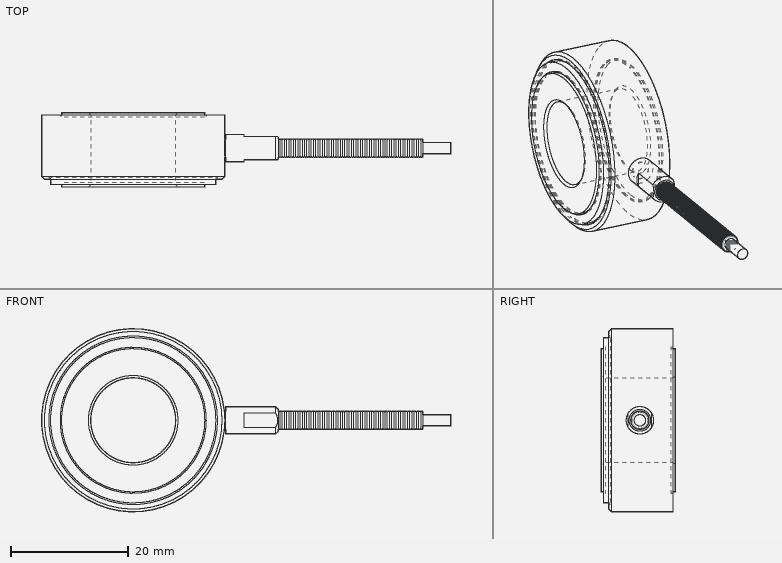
import cadquery as cq
total_width = 12.7
body_diameter = 31.3
bore_diameter = 14.45
boss_diameter = 24.4
boss_height = 0.4
rim_diameter = 28.2
rim_height = 0.9
edge_chamfer = 0.5
bore_chamfer = 0.4

groove_depth = 0.35
rim_groove_diameter = 28.75
boss_groove_diameter = 24.9

half_width = total_width / 2
back_face = half_width - boss_height
rim_face = -back_face
front_shoulder = rim_face + rim_height

overall_length = 69.8
outlet_y = 0.3
neck_diameter = 3.1
neck_start = 13.95
collar_diameter = 4.7
collar_start = 15.8
collar_end = 24.8
collar_chamfer = 0.5
flat_start = 18.9
flat_thickness = 4.0
cable_diameter = 1.95
cable_end = overall_length - body_diameter / 2

hose_diameter = 3.15
hose_ring_count = 65
hose_start = 24.65
hose_end = 49.4
hose_pitch = (hose_end - hose_start) / hose_ring_count


def disc(diameter, y_from, y_to):
    """Solid cylinder on the Y axis between two Y positions."""
    return cq.Workplane("XZ", origin=(0, y_to, 0)).circle(diameter / 2).extrude(y_to - y_from)


def ring_groove(inner_diameter, outer_diameter, y_from, y_to):
    """Tube-shaped cutter on the Y axis between two Y positions."""
    return disc(outer_diameter, y_from, y_to).cut(disc(inner_diameter, y_from, y_to))


def load_ring():
    """Chamfered body with the front rim, both bosses, the bore and the ring grooves."""
    body = disc(body_diameter, front_shoulder, back_face).faces("<Y").chamfer(edge_chamfer)
    ring = body.union(disc(rim_diameter, rim_face, front_shoulder))
    ring = ring.union(disc(boss_diameter, -half_width, half_width))
    ring = ring.cut(disc(bore_diameter, -half_width, half_width))
    ring = ring.edges(cq.selectors.RadiusNthSelector(0)).chamfer(bore_chamfer)
    ring = ring.cut(
        ring_groove(rim_diameter, rim_groove_diameter, front_shoulder, front_shoulder + groove_depth)
    )
    ring = ring.cut(ring_groove(boss_diameter, boss_groove_diameter, rim_face, rim_face + groove_depth))
    return ring.cut(ring_groove(boss_diameter, boss_groove_diameter, back_face - groove_depth, back_face))


def rod(diameter, x_from, x_to):
    """Solid cylinder on the outlet axis between two X positions."""
    return cq.Workplane("YZ", origin=(x_from, outlet_y, 0)).circle(diameter / 2).extrude(x_to - x_from)


def collar():
    """Round collar, chamfered at its outer end, with two parallel flats."""
    blank = rod(collar_diameter, collar_start, collar_end).faces(">X").chamfer(collar_chamfer)
    clearance = 2 * collar_diameter
    waste = cq.Workplane("YZ", origin=(flat_start, outlet_y, 0))
    waste = waste.rect(clearance, clearance).extrude(collar_end - flat_start)
    waste = waste.cut(
        cq.Workplane("YZ", origin=(flat_start, outlet_y, 0))
        .rect(flat_thickness, clearance)
        .extrude(collar_end - flat_start)
    )
    return blank.cut(waste)


def hose():
    """Corrugated hose, revolved from its scalloped outline."""
    ring_radius = hose_pitch / 2
    crest = hose_diameter / 2
    valley = crest - ring_radius
    outline = cq.Workplane("XY", origin=(0, outlet_y, 0)).moveTo(hose_start, 0).lineTo(hose_start, valley)
    for index in range(hose_ring_count):
        ring_start = hose_start + index * hose_pitch
        outline = outline.threePointArc((ring_start + ring_radius, crest), (ring_start + hose_pitch, valley))
    outline = outline.lineTo(hose_end, 0).close()
    return outline.revolve(360, (0, 0, 0), (1, 0, 0))


result = load_ring()
result = result.union(rod(neck_diameter, neck_start, collar_start))
result = result.union(collar())
result = result.union(hose())
result = result.union(rod(cable_diameter, hose_end, cable_end))